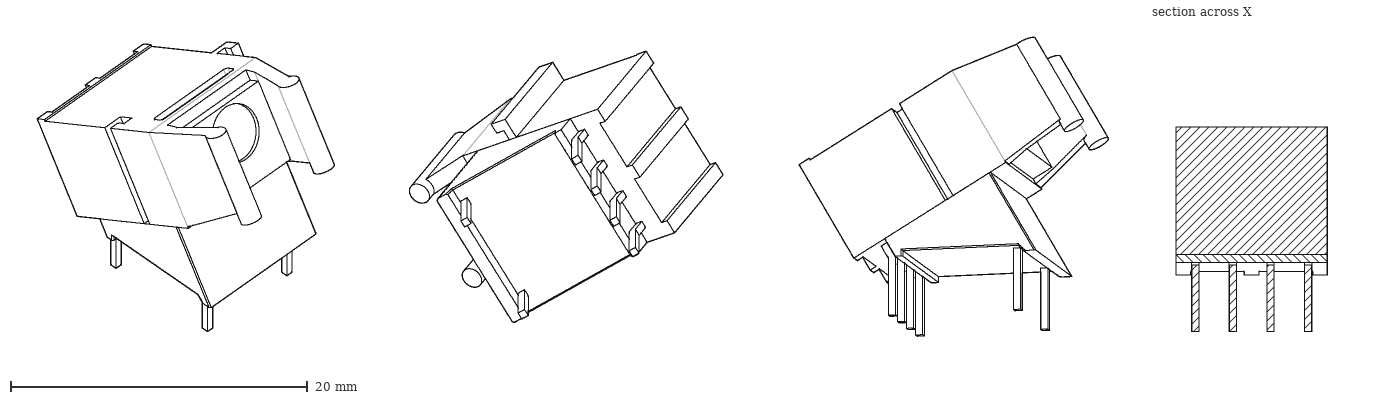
import cadquery as cq
import math

TILT = 30.0

BODY_LENGTH = 12.18
BODY_WIDTH = 10.21
BODY_HEIGHT = 7.47
HALF_WIDTH = BODY_WIDTH / 2

LIP_LENGTH = 0.81
LIP_HEIGHT = 0.14

BACK_POCKET_DEPTH = 0.48
BACK_RIB = 1.0
BACK_POCKET_WIDTH = (BODY_WIDTH - 3 * BACK_RIB) / 2

RAIL_START = 7.35
RAIL_NECK = 0.62
RAIL_HEAD = 1.25
RAIL_DEPTH = 1.49

SLOT_START = 10.77
SLOT_WIDTH = 0.95
SLOT_LENGTH = 7.0
SLOT_DEPTH = 0.46
SLOT_CORNER = 0.23
RIB_RADIUS = 0.29
RIB_LENGTH = 6.45
RIB_AXIS_X = 11.22
RIB_AXIS_DEPTH = 0.58

NOSE_END = 18.0
NOSE_TOP_END = 6.79
POST_X = 17.25
POST_BOTTOM = 0.12
ARM_BOTTOM_START = 0.12
ARM_BOTTOM_END = 0.95
LEFT_POST_RADIUS = NOSE_END - POST_X
LEFT_POST_Y = 3.52
LEFT_ARM_INNER_Y = 3.62
LEFT_ARM_OUTER_Y = 3.95
RIGHT_POST_RADIUS = 0.73
RIGHT_POST_Y = 3.45
RIGHT_ARM_INNER_Y = 3.89
RIGHT_ARM_OUTER_Y = 3.85

FACE_X = 13.7
FACE_BOTTOM = 0.5
LEDGE_START = 12.78
LEDGE_HEIGHT = 6.6
BORE_DIAMETER = 4.0
BORE_DEPTH = 0.35
BORE_Y = 0.35
BORE_HEIGHT = 4.4

PIN = 0.5
PIN_PITCH = 2.53
PIN_BOTTOM = -3.81
FRONT_PIN_ROW = [step * PIN_PITCH for step in (-1.5, -0.5, 0.5, 1.5)]
REAR_PIN_ROW = [FRONT_PIN_ROW[0], FRONT_PIN_ROW[-1]]
FRONT_PIN_SLANT_START = 1.9
FRONT_PIN_SLANT_LENGTH = 1.18
FRONT_PIN_X = 2.15
FRONT_PIN_TOP = 0.2
REAR_PIN_X = 10.83

BASE_BACK = 2.48
BASE_FRONT = 10.95
FOOT_HEIGHT = 0.39
BACK_FOOT_END = 3.38
FRONT_FOOT_START = 11.78
BASE_CHAMFER = 0.1


def box(x, y, z):
    """Box spanning three (low, high) ranges."""
    size = (x[1] - x[0], y[1] - y[0], z[1] - z[0])
    return cq.Workplane("XY").box(*size, centered=False).translate((x[0], y[0], z[0]))


def tilted(shape):
    return shape.rotate((0, 0, 0), (0, 1, 0), -TILT)


def tilted_point(x, z):
    """Level housing position (x, z) after tilting."""
    c = math.cos(math.radians(TILT))
    s = math.sin(math.radians(TILT))
    return x * c - z * s, x * s + z * c


def side_prism(points, width):
    """XZ outline extruded symmetrically about Y = 0."""
    return cq.Workplane("XZ").polyline(points).close().extrude(width / 2, both=True)


def block():
    body = box((0, BODY_LENGTH), (-HALF_WIDTH, HALF_WIDTH), (0, BODY_HEIGHT))
    lip = box((0, LIP_LENGTH), (-HALF_WIDTH, HALF_WIDTH), (0, BODY_HEIGHT + LIP_HEIGHT))
    body = body.union(lip)
    for y in (BACK_RIB / 2, -BACK_RIB / 2 - BACK_POCKET_WIDTH):
        pocket = box((0, BACK_POCKET_DEPTH), (y, y + BACK_POCKET_WIDTH), (0, BODY_HEIGHT + LIP_HEIGHT))
        body = body.cut(pocket)
    return body


def rail(start_y):
    """L-shaped rail that stands out from start_y toward +Y."""
    middle_y = start_y + RAIL_DEPTH / 2
    end_y = start_y + RAIL_DEPTH
    neck = box((RAIL_START, RAIL_START + RAIL_NECK), (start_y, end_y), (0, BODY_HEIGHT))
    head = box((RAIL_START, RAIL_START + RAIL_HEAD), (middle_y, end_y), (0, BODY_HEIGHT))
    return neck.union(head)


def top_slot():
    slot = box(
        (SLOT_START, SLOT_START + SLOT_WIDTH),
        (-SLOT_LENGTH / 2, SLOT_LENGTH / 2),
        (BODY_HEIGHT - SLOT_DEPTH, BODY_HEIGHT),
    ).edges("|Z").fillet(SLOT_CORNER)
    rib = (
        cq.Workplane("XZ")
        .center(RIB_AXIS_X, BODY_HEIGHT - RIB_AXIS_DEPTH)
        .circle(RIB_RADIUS)
        .extrude(RIB_LENGTH / 2, both=True)
    )
    return slot.cut(rib)


def arm(side, inner_y, outer_y, post_y, post_radius):
    outline = [
        (BODY_LENGTH, HALF_WIDTH * side),
        (POST_X, outer_y * side),
        (POST_X, (post_y - post_radius) * side),
        (FACE_X, inner_y * side),
        (BODY_LENGTH, inner_y * side),
    ]
    return cq.Workplane("XY").polyline(outline).close().extrude(BODY_HEIGHT)


def post(side, post_y, post_radius):
    return (
        cq.Workplane("XY", origin=(POST_X, post_y * side, POST_BOTTOM))
        .circle(post_radius)
        .extrude(BODY_HEIGHT - POST_BOTTOM)
    )


def nose():
    between_arms = (-RIGHT_ARM_INNER_Y, LEFT_ARM_INNER_Y)
    solid = box((BODY_LENGTH, FACE_X), between_arms, (FACE_BOTTOM, BODY_HEIGHT))
    solid = solid.union(arm(1, LEFT_ARM_INNER_Y, LEFT_ARM_OUTER_Y, LEFT_POST_Y, LEFT_POST_RADIUS))
    solid = solid.union(arm(-1, RIGHT_ARM_INNER_Y, RIGHT_ARM_OUTER_Y, RIGHT_POST_Y, RIGHT_POST_RADIUS))
    underside = [
        (BODY_LENGTH, 0),
        (POST_X, 0),
        (POST_X, ARM_BOTTOM_END),
        (BODY_LENGTH, ARM_BOTTOM_START),
    ]
    solid = solid.cut(side_prism(underside, BODY_WIDTH))
    solid = solid.union(post(1, LEFT_POST_Y, LEFT_POST_RADIUS))
    solid = solid.union(post(-1, RIGHT_POST_Y, RIGHT_POST_RADIUS))
    above_slope = [
        (BODY_LENGTH, BODY_HEIGHT),
        (NOSE_END, BODY_HEIGHT),
        (NOSE_END, NOSE_TOP_END),
    ]
    solid = solid.cut(side_prism(above_slope, BODY_WIDTH))
    ledge = box((LEDGE_START, FACE_X), between_arms, (LEDGE_HEIGHT, BODY_HEIGHT))
    bore = (
        cq.Workplane("YZ", origin=(FACE_X - BORE_DEPTH, BORE_Y, BORE_HEIGHT))
        .circle(BORE_DIAMETER / 2)
        .extrude(BORE_DEPTH)
    )
    return solid.cut(ledge).cut(bore)


def front_pin(y):
    """Pin that leaves the housing square to its underside and bends to vertical."""
    across = (y - PIN / 2, y + PIN / 2)
    slant_range = (FRONT_PIN_SLANT_START, FRONT_PIN_SLANT_START + PIN)
    slanted = tilted(box(slant_range, across, (-FRONT_PIN_SLANT_LENGTH, 0)))
    upright = box((FRONT_PIN_X, FRONT_PIN_X + PIN), across, (PIN_BOTTOM, FRONT_PIN_TOP))
    return slanted.union(upright)


def make_housing():
    level = block().union(rail(HALF_WIDTH)).cut(rail(-HALF_WIDTH)).cut(top_slot()).union(nose())
    solid = tilted(level)
    for y in FRONT_PIN_ROW:
        solid = solid.union(front_pin(y))
    return solid


def is_edge_between(edge, start, end):
    """True if the edge is centred midway between two XZ points."""
    tolerance = 0.02
    center = edge.Center()
    middle_x = (start[0] + end[0]) / 2
    middle_z = (start[1] + end[1]) / 2
    return math.hypot(center.x - middle_x, center.z - middle_z) < tolerance


def wedge():
    cosine = math.cos(math.radians(TILT))
    back_top = tilted_point(BASE_BACK, 0)
    back_toe = (BASE_BACK / cosine, 0)
    back_heel = (BACK_FOOT_END, 0)
    back_root = (BACK_FOOT_END, FOOT_HEIGHT)
    front_root = (FRONT_FOOT_START - FOOT_HEIGHT, FOOT_HEIGHT)
    front_heel = (FRONT_FOOT_START, 0)
    front_toe = (BASE_FRONT / cosine, 0)
    front_top = tilted_point(BASE_FRONT, 0)
    outline = [back_top, back_toe, back_heel, back_root, front_root, front_heel, front_toe, front_top]
    solid = side_prism(outline, BODY_WIDTH)

    bevelled = [
        (back_heel, back_root),
        (back_root, front_root),
        (front_root, front_heel),
        (front_toe, front_top),
    ]
    edges = solid.faces("<Y or >Y").edges()
    edges = edges.filter(lambda edge: any(is_edge_between(edge, *ends) for ends in bevelled))
    return edges.chamfer(BASE_CHAMFER)


def rear_pin(y):
    across = (y - PIN / 2, y + PIN / 2)
    return box((REAR_PIN_X, REAR_PIN_X + PIN), across, (PIN_BOTTOM, FOOT_HEIGHT))


def make_base():
    solid = wedge()
    for y in REAR_PIN_ROW:
        solid = solid.union(rear_pin(y))
    return solid


housing = make_housing()
base = make_base()
result = cq.Compound.makeCompound([housing.solids().val(), base.solids().val()])